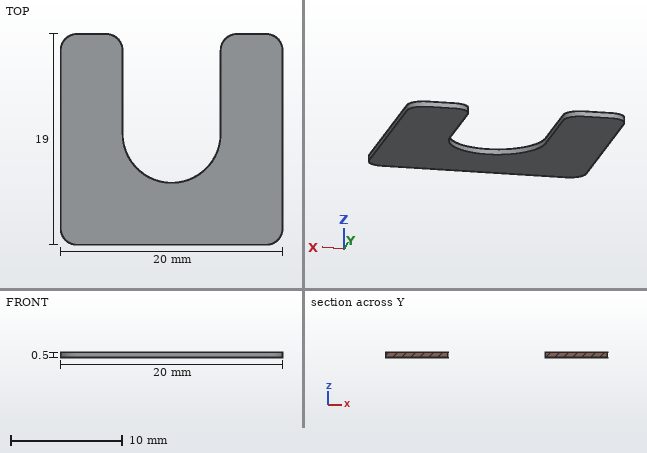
import cadquery as cq

width = 20.0
depth = 19.0
thickness = 0.5
corner_radius = 1.5
slot_width = 8.8
web_depth = 5.6

slot_radius = slot_width / 2
slot_center_y = web_depth + slot_radius

plate = cq.Workplane("XY").rect(width, depth).extrude(thickness).translate((0, depth / 2, 0))

slot = (
    cq.Workplane("XY")
    .moveTo(-slot_radius, depth)
    .lineTo(-slot_radius, slot_center_y)
    .threePointArc((0, web_depth), (slot_radius, slot_center_y))
    .lineTo(slot_radius, depth)
    .close()
    .extrude(thickness)
)

front_and_back_edges = "|Z and (<Y or >Y)"
result = plate.cut(slot).edges(front_and_back_edges).fillet(corner_radius)